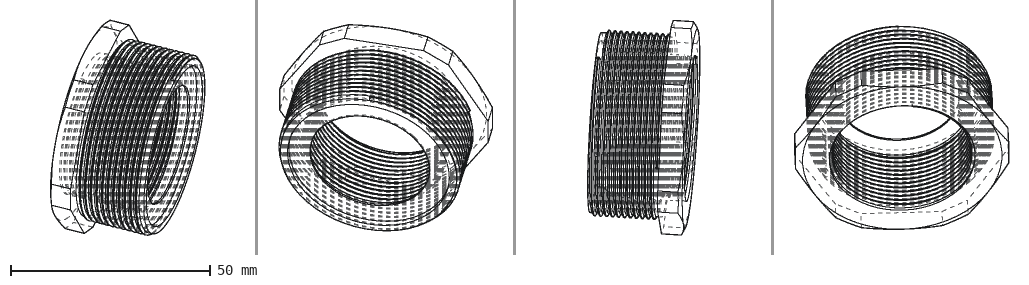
import cadquery as cq
import math

total_length = 24.0
head_length = 6.0
across_flats = 50.0
across_corners = 53.5
head_chamfer_length = 0.8
head_chamfer_depth = 1.7

pitch = 1.5
ridge_base = 1.05
ridge_crest = 0.2
ridge_height = 0.7
ridge_overlap = 0.05

sleeve_diameter = 45.3
outer_thread_start = 6.6
outer_thread_turns = 11.2
outer_thread_start_angle = 17.5

socket_diameter = 36.6
socket_depth = 19.0
cone_diameter = 35.2
throat_diameter = 30.7
cone_end = 22.05
throat_end = 22.5
recess_diameter = 41.5
inner_thread_turns = 11.8
inner_thread_start = 0.65
inner_thread_start_angle = 98.0


def cylinder(diameter, start, length):
    """Solid cylinder along X."""
    return cq.Workplane("YZ", origin=(start, 0, 0)).circle(diameter / 2).extrude(length)


def hexagonal_prism(flat_distance):
    """Hexagonal prism whose corners point along +Y and -Y."""
    corner_distance = flat_distance / math.cos(math.pi / 6)
    return cq.Workplane("YZ").polygon(6, corner_distance).extrude(head_length)


def make_head():
    corner_trim = hexagonal_prism(across_corners).rotate((0, 0, 0), (1, 0, 0), 30)
    face_radius = across_flats / 2
    rim_radius = face_radius + head_chamfer_depth
    clear_radius = across_corners
    clear_length = head_chamfer_length * (clear_radius - face_radius) / (rim_radius - face_radius)
    envelope = (
        cq.Workplane("XY")
        .moveTo(0, 0)
        .lineTo(0, face_radius)
        .lineTo(clear_length, clear_radius)
        .lineTo(clear_length, 0)
        .close()
        .revolve(360, (0, 0, 0), (1, 0, 0))
    )
    return hexagonal_prism(across_flats).intersect(corner_trim).intersect(envelope)


def make_bore():
    """Revolved void of the socket, cone, throat and recess."""
    return (
        cq.Workplane("XY")
        .moveTo(0, 0)
        .lineTo(0, socket_diameter / 2)
        .lineTo(socket_depth, socket_diameter / 2)
        .lineTo(socket_depth, cone_diameter / 2)
        .lineTo(cone_end, throat_diameter / 2)
        .lineTo(throat_end, throat_diameter / 2)
        .lineTo(throat_end, recess_diameter / 2)
        .lineTo(total_length, recess_diameter / 2)
        .lineTo(total_length, 0)
        .close()
        .revolve(360, (0, 0, 0), (1, 0, 0))
    )


def make_ridge(wall_diameter, outward, start, turns, start_angle):
    """Helical ridge on a cylindrical wall; outward is 1 (outside) or -1 (inside)."""
    wall_radius = wall_diameter / 2
    root_radius = wall_radius - outward * ridge_overlap
    crest_radius = wall_radius + outward * ridge_height
    flank_slope = (ridge_base - ridge_crest) / ridge_height
    root_width = ridge_base + ridge_overlap * flank_slope
    corners = [
        (root_radius, -root_width / 2),
        (crest_radius, -ridge_crest / 2),
        (crest_radius, ridge_crest / 2),
        (root_radius, root_width / 2),
    ]
    edges = [
        cq.Wire.makeHelix(pitch, turns * pitch, radius).translate(cq.Vector(0, 0, offset)).Edges()[0]
        for radius, offset in corners
    ]
    faces = [cq.Face.makeRuledSurface(edges[i - 1], edges[i]) for i in range(len(edges))]
    for end in (0, 1):
        end_points = [edge.positionAt(end) for edge in edges]
        faces.append(cq.Face.makeFromWires(cq.Wire.makePolygon(end_points, close=True)))
    ridge = cq.Workplane(cq.Solid.makeSolid(cq.Shell.makeShell(faces)).fix())
    ridge = ridge.rotate((0, 0, 0), (1, 1, 1), 120)
    return ridge.rotate((0, 0, 0), (1, 0, 0), start_angle).translate((start, 0, 0))


outer_ridge = make_ridge(
    sleeve_diameter, 1, outer_thread_start, outer_thread_turns, outer_thread_start_angle
)
inner_ridge = make_ridge(
    socket_diameter, -1, inner_thread_start, inner_thread_turns, inner_thread_start_angle
)

sleeve = cylinder(sleeve_diameter, head_length, total_length - head_length)
result = make_head().union(sleeve).cut(make_bore()).union(outer_ridge).union(inner_ridge)